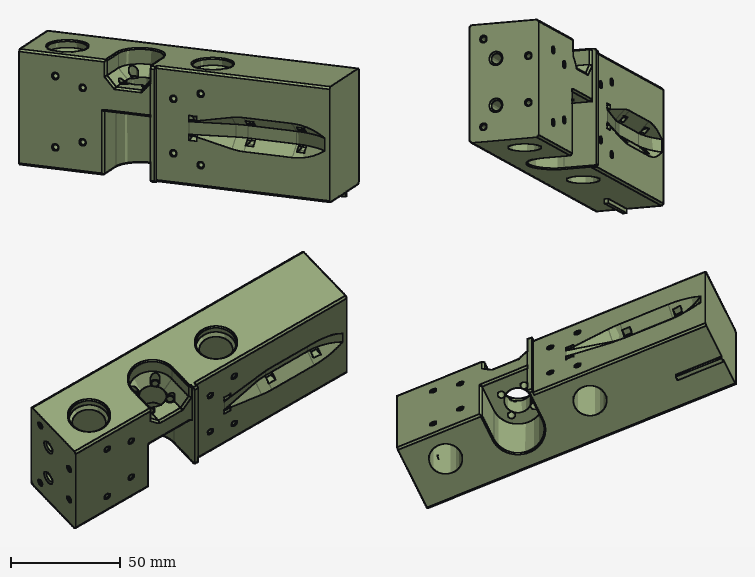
import cadquery as cq
import math

LENGTH = 154.0
DEPTH = 34.0
HEIGHT = 55.0
EDGE_CHAMFER = 1.0
MID_Z = HEIGHT / 2

CENTER_X = 54.0
CENTER_Y = 14.0

SLOT_RADIUS = 12.0
SLOT_HEIGHT = 30.3

POCKET_RADIUS = 10.8
POCKET_WALL_HEIGHT = 7.5
POCKET_FLOOR_RADIUS = 12.5 / 2
POCKET_FLOOR_Z = HEIGHT - 12.5
POCKET_SLOPE_TOP_Z = HEIGHT - POCKET_WALL_HEIGHT
RIM_CHAMFER = 0.6

POCKET_SCREW_DIAMETER = 3.4
POCKET_SCREW_OFFSET = 5.7
SPOTFACE_DIAMETER = 4.5
SPOTFACE_DEPTH = 0.5

RIB_THICKNESS = 2.0
RIB_PROTRUSION = 2.0
RIB_X = CENTER_X + SLOT_RADIUS
FOOT_LENGTH = 23.0
FOOT_WIDTH = 2.0
FOOT_HEIGHT = 2.0
FOOT_Y = 18.0

BORE_DIAMETER = 15.2
BORE_SEAT_DIAMETER = 18.3
BORE_SEAT_DEPTH = 3.5
BORE_MOUTH_CHAMFER = 0.6
BORE_OFFSET_X = 36.0

SMALL_TAP = (2.5, 3.4, 8.0)
LARGE_TAP = (5.0, 6.5, 12.0)
DRILL_POINT_ANGLE = 118.0

INNER_FRONT_X, INNER_FRONT_Z = 22.5, 13.0
OUTER_FRONT_X, OUTER_FRONT_Z = BORE_OFFSET_X, 17.0

END_LARGE_Y, END_LARGE_Z = 21.0, 11.0
END_FRONT_Y, END_FRONT_Z = 5.1, 11.0
END_BACK_Y, END_BACK_Z = 27.1, 20.5

CHANNEL_START_X = 84.2
CHANNEL_FLAT_START_X = 111.3
CHANNEL_FLAT_END_X = 135.4
CHANNEL_DEPTH = 5.1
CHANNEL_FLOOR_WIDTH = 6.0
CHANNEL_ARC_RADIUS = 28.5

TUNNEL_WIDTH = 3.8
TUNNEL_INNER_RADIUS = 3.7
TUNNEL_OUTER_RADIUS = 5.9
TUNNEL_SETBACK = 0.6
LAST_TUNNEL_X = 136.8

CUT_CLEARANCE = 4.6


def make_body():
    block = cq.Workplane("XY").box(LENGTH, DEPTH, HEIGHT, centered=False)
    block = block.edges("|X").chamfer(EDGE_CHAMFER)
    rib_depth = RIB_PROTRUSION + 2 * EDGE_CHAMFER
    rib = (
        cq.Workplane("XY", origin=(RIB_X, -RIB_PROTRUSION, 0))
        .box(RIB_THICKNESS, rib_depth, HEIGHT, centered=False)
        .edges("|X and <Y")
        .chamfer(EDGE_CHAMFER)
    )
    foot = cq.Workplane("XY", origin=(LENGTH - FOOT_LENGTH, FOOT_Y, -FOOT_HEIGHT)).box(
        FOOT_LENGTH, FOOT_WIDTH, FOOT_HEIGHT, centered=False
    )
    return block.union(rib).union(foot)


def u_outline(plane_z, radius):
    """U-shaped outline on a level plane: round at the back, running out past the front."""
    front = -CENTER_Y - CUT_CLEARANCE
    return (
        cq.Workplane("XY", origin=(CENTER_X, CENTER_Y, plane_z))
        .moveTo(-radius, front)
        .lineTo(-radius, 0)
        .threePointArc((0, radius), (radius, 0))
        .lineTo(radius, front)
        .close()
    )


def front_chamfer(points):
    """Cutter for a chamfer around an opening in the front face; points are (X, Z)."""
    plane = cq.Workplane("XZ", origin=(0, EDGE_CHAMFER, 0))
    return plane.polyline(points).close().extrude(EDGE_CHAMFER, taper=-45)


def lower_slot():
    slot = u_outline(0, SLOT_RADIUS).extrude(SLOT_HEIGHT)
    rim = u_outline(RIM_CHAMFER, SLOT_RADIUS).extrude(-RIM_CHAMFER, taper=-45)
    left = CENTER_X - SLOT_RADIUS
    right = RIB_X - EDGE_CHAMFER
    bottom = -CUT_CLEARANCE
    opening = [(left, bottom), (left, SLOT_HEIGHT), (right, SLOT_HEIGHT), (right, bottom)]
    return slot.union(rim).union(front_chamfer(opening))


def upper_pocket():
    top = HEIGHT + CUT_CLEARANCE
    half_profile = [
        (POCKET_FLOOR_RADIUS, POCKET_FLOOR_Z),
        (POCKET_RADIUS, POCKET_SLOPE_TOP_Z),
        (POCKET_RADIUS, top),
    ]
    round_end = (
        cq.Workplane("XZ", origin=(CENTER_X, CENTER_Y, 0))
        .polyline([(0, POCKET_FLOOR_Z)] + half_profile + [(0, top)])
        .close()
        .revolve(360, (0, 0, 0), (0, 1, 0))
    )
    right_side = [(CENTER_X + x, z) for x, z in half_profile]
    left_side = [(CENTER_X - x, z) for x, z in reversed(half_profile)]
    opening = right_side + left_side
    front_run = (
        cq.Workplane("XZ", origin=(0, CENTER_Y, 0))
        .polyline(opening)
        .close()
        .extrude(CENTER_Y + CUT_CLEARANCE)
    )
    rim = u_outline(HEIGHT - RIM_CHAMFER, POCKET_RADIUS).extrude(RIM_CHAMFER, taper=-45)
    return round_end.union(front_run).union(rim).union(front_chamfer(opening))


def pocket_floor_holes():
    web = cq.Workplane("XY", origin=(CENTER_X, CENTER_Y, SLOT_HEIGHT))
    web_thickness = POCKET_FLOOR_Z - SLOT_HEIGHT
    screw_spacing = 2 * POCKET_SCREW_OFFSET
    center_hole = web.circle(POCKET_FLOOR_RADIUS).extrude(web_thickness)
    screws = (
        web.rect(screw_spacing, screw_spacing, forConstruction=True)
        .vertices()
        .circle(POCKET_SCREW_DIAMETER / 2)
        .extrude(web_thickness)
    )
    spotfaces = (
        web.workplane(offset=web_thickness - SPOTFACE_DEPTH)
        .rect(screw_spacing, screw_spacing, forConstruction=True)
        .vertices()
        .circle(SPOTFACE_DIAMETER / 2)
        .extrude(POCKET_SLOPE_TOP_Z - POCKET_FLOOR_Z + SPOTFACE_DEPTH)
    )
    return center_hole.union(screws).union(spotfaces)


def column_bore(x):
    """Through bore with a chamfered seat at the top and a 45 degree step below the seat."""
    bore_radius = BORE_DIAMETER / 2
    seat_radius = BORE_SEAT_DIAMETER / 2
    mouth_radius = seat_radius + BORE_MOUTH_CHAMFER
    seat_z = HEIGHT - BORE_SEAT_DEPTH
    profile = [
        (0, 0),
        (bore_radius, 0),
        (bore_radius, seat_z - (seat_radius - bore_radius)),
        (seat_radius, seat_z),
        (seat_radius, HEIGHT - BORE_MOUTH_CHAMFER),
        (mouth_radius, HEIGHT),
        (0, HEIGHT),
    ]
    plane = cq.Workplane("XZ", origin=(x, CENTER_Y, 0))
    return plane.polyline(profile).close().revolve(360, (0, 0, 0), (0, 1, 0))


def tapped_hole(position, direction, tap, pointed=True):
    """Blind hole with a 45 degree countersink, drilled from position along direction."""
    diameter, sink_diameter, depth = tap
    radius = diameter / 2
    sink_radius = sink_diameter / 2
    point_length = 0
    if pointed:
        point_length = radius / math.tan(math.radians(DRILL_POINT_ANGLE / 2))
    profile = [(0, 0), (sink_radius, 0), (radius, sink_radius - radius), (radius, depth)]
    profile.append((0, depth + point_length))
    plane = cq.Plane(
        origin=position,
        xDir=(0, 0, 1),
        normal=cq.Vector(0, 0, 1).cross(cq.Vector(*direction)),
    )
    return cq.Workplane(plane).polyline(profile).close().revolve(360, (0, 0, 0), (0, 1, 0))


def front_holes():
    holes = []
    for offset_x, offset_z in ((INNER_FRONT_X, INNER_FRONT_Z), (OUTER_FRONT_X, OUTER_FRONT_Z)):
        for side_x in (-1, 1):
            for side_z in (-1, 1):
                position = (CENTER_X + side_x * offset_x, 0, MID_Z + side_z * offset_z)
                holes.append(tapped_hole(position, (0, 1, 0), SMALL_TAP))
    return holes


def end_holes():
    holes = []
    for side in (-1, 1):
        for y, offset_z in ((END_FRONT_Y, END_FRONT_Z), (END_BACK_Y, END_BACK_Z)):
            holes.append(tapped_hole((0, y, MID_Z + side * offset_z), (1, 0, 0), SMALL_TAP))
        large_position = (0, END_LARGE_Y, MID_Z + side * END_LARGE_Z)
        holes.append(tapped_hole(large_position, (1, 0, 0), LARGE_TAP, pointed=False))
    return holes


def channel_outline():
    """Plan outline of the channel: sloped entry, arc, flat floor, and arc back to the front face."""
    radius = CHANNEL_ARC_RADIUS
    center_y = CHANNEL_DEPTH - radius
    run = CHANNEL_FLAT_START_X - CHANNEL_START_X
    entry_angle = math.asin(radius / math.hypot(run, center_y)) - math.atan2(-center_y, run)

    def arc_point(center_x, angle):
        return (center_x + radius * math.sin(angle), center_y + radius * math.cos(angle))

    exit_angle = math.acos(-center_y / radius)
    return (
        cq.Workplane("XY")
        .moveTo(CHANNEL_START_X, 0)
        .lineTo(*arc_point(CHANNEL_FLAT_START_X, -entry_angle))
        .threePointArc(
            arc_point(CHANNEL_FLAT_START_X, -entry_angle / 2),
            (CHANNEL_FLAT_START_X, CHANNEL_DEPTH),
        )
        .lineTo(CHANNEL_FLAT_END_X, CHANNEL_DEPTH)
        .threePointArc(
            arc_point(CHANNEL_FLAT_END_X, exit_angle / 2),
            arc_point(CHANNEL_FLAT_END_X, exit_angle),
        )
        .close()
    )


def cable_channel():
    """Straight cut over the floor width plus oblique cuts that form the 45 degree walls."""
    face = cq.Face.makeFromWires(channel_outline().val())
    half_width = CHANNEL_FLOOR_WIDTH / 2
    lower_face = face.translate(cq.Vector(0, 0, MID_Z - half_width))
    upper_face = face.translate(cq.Vector(0, 0, MID_Z + half_width))
    return [
        cq.Solid.extrudeLinear(lower_face, cq.Vector(0, 0, CHANNEL_FLOOR_WIDTH)),
        cq.Solid.extrudeLinear(upper_face, cq.Vector(0, -CHANNEL_DEPTH, CHANNEL_DEPTH)),
        cq.Solid.extrudeLinear(lower_face, cq.Vector(0, -CHANNEL_DEPTH, -CHANNEL_DEPTH)),
    ]


def tie_tunnel(x, floor_y):
    """U-shaped tunnel reaching around behind the channel floor, which lies at depth floor_y."""
    outer, inner = TUNNEL_OUTER_RADIUS, TUNNEL_INNER_RADIUS
    center_y = floor_y + TUNNEL_SETBACK
    front = -center_y - CUT_CLEARANCE
    return (
        cq.Workplane("YZ", origin=(x, center_y, MID_Z))
        .moveTo(front, outer)
        .lineTo(0, outer)
        .threePointArc((outer, 0), (0, -outer))
        .lineTo(front, -outer)
        .lineTo(front, -inner)
        .lineTo(0, -inner)
        .threePointArc((inner, 0), (0, inner))
        .lineTo(front, inner)
        .close()
        .extrude(TUNNEL_WIDTH)
    )


cutters = [lower_slot(), upper_pocket(), pocket_floor_holes()]
cutters += [column_bore(CENTER_X - BORE_OFFSET_X), column_bore(CENTER_X + BORE_OFFSET_X)]
cutters += front_holes()
cutters += end_holes()
cutters += cable_channel()
cutters += [
    tie_tunnel(CHANNEL_START_X, 0),
    tie_tunnel(CHANNEL_FLAT_START_X, CHANNEL_DEPTH),
    tie_tunnel(LAST_TUNNEL_X, CHANNEL_DEPTH),
]

result = make_body()
for cutter in cutters:
    result = result.cut(cutter)